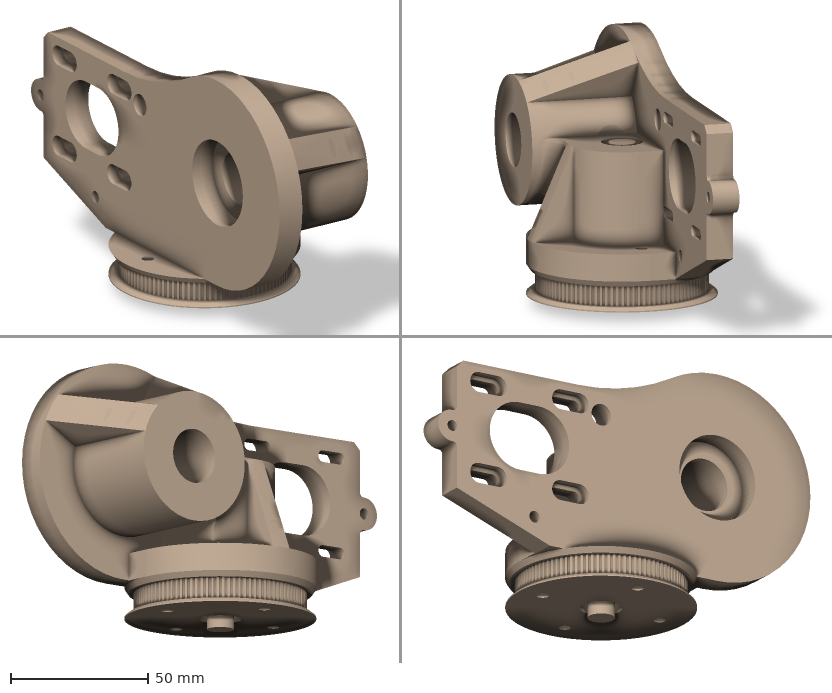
import cadquery as cq
import math


plate_thickness = 10.0
plate_round_radius = 40.0
plate_left = -112.0
plate_top = 24.6
top_line_end_x = -60.0
corner_chamfer = 2.9
lower_left_z = -25.1
bottom_line_start_x = -72.0

overall_length = 160.0
ear_radius = 6.0
ear_x = plate_round_radius - overall_length + ear_radius
ear_z = -1.5
ear_hole_diameter = 4.2
ear_fillet = 1.6

motor_x = -80.8
motor_travel = 8.0
window_diameter = 26.0
slot_spacing = 35.2
slot_width = 4.3
slot_recess_width = 7.7
slot_recess_depth = 4.0

cable_hole_x = -50.0
cable_hole_z = 14.9
cable_hole_diameter = 8.3
screw_hole_x = -78.5
screw_hole_z = -30.0
screw_hole_diameter = 4.5

boss_radius = 24.0
boss_length = 40.0
boss_end = plate_thickness + boss_length
bore_diameter = 20.0
bearing_seat_diameter = 32.6
bearing_seat_depth = 9.1
boss_rib_width = 12.0
boss_rib_angles = [30.0, 120.0]

pulley_x = -37.5
pulley_y = 20.0
bracket_bottom = -plate_round_radius
bracket_top = 5.0
base_radius = 35.0
base_thickness = 10.0
block_radius = 20.0
block_back = pulley_y + block_radius
block_fillet = 7.0
back_rib_width = 7.7
shaft_hole_diameter = 15.4
boss_relief_radius = 14.9
screw_circle_radius = 25.1
pulley_screw_diameter = 4.5
pulley_screw_count = 4

tooth_count = 100
tooth_tip_radius = 31.7
groove_width = 1.1
groove_depth = 0.8
flange_radius = base_radius
flange_inner_radius = 33.6
upper_flange_thickness = 2.0
cap_top = -48.2
lower_flange_top = -50.0
lower_rim_top = -51.0
pulley_bottom = -51.5
shaft_diameter = 10.0
shaft_bottom = -55.4


def on_front():
    """Workplane on the front of the plate: local x is X, local y is Z, positive normal is -Y."""
    return cq.Workplane("XZ")


def along_pulley_axis(z):
    """Horizontal workplane at height z, centred on the pulley axis."""
    return cq.Workplane("XY", origin=(pulley_x, pulley_y, z))


def pulley_axis_cone(bottom_radius, bottom, top_radius, top):
    """Cone frustum on the pulley axis between two heights."""
    return cq.Workplane(
        cq.Solid.makeCone(bottom_radius, top_radius, top - bottom, cq.Vector(pulley_x, pulley_y, bottom))
    )


def make_plate():
    centre_offset = -top_line_end_x
    offset_excess = centre_offset**2 + plate_top**2 - plate_round_radius**2
    arc_radius = offset_excess / (2 * (plate_round_radius - plate_top))
    arc_centre_z = plate_top + arc_radius
    centre_distance = plate_round_radius + arc_radius
    tangent_x = top_line_end_x * plate_round_radius / centre_distance
    tangent_z = arc_centre_z * plate_round_radius / centre_distance
    half_sweep = 0.5 * math.asin((tangent_x - top_line_end_x) / arc_radius)
    arc_middle = (
        top_line_end_x + arc_radius * math.sin(half_sweep),
        arc_centre_z - arc_radius * math.cos(half_sweep),
    )
    outline = (
        on_front()
        .moveTo(plate_left, lower_left_z)
        .lineTo(plate_left, plate_top - corner_chamfer)
        .lineTo(plate_left + corner_chamfer, plate_top)
        .lineTo(top_line_end_x, plate_top)
        .threePointArc(arc_middle, (tangent_x, tangent_z))
        .threePointArc((plate_round_radius, 0), (0, -plate_round_radius))
        .lineTo(bottom_line_start_x, -plate_round_radius)
        .close()
    )
    plate = outline.extrude(-plate_thickness)
    ear_round = on_front().center(ear_x, ear_z).circle(ear_radius).extrude(-plate_thickness)
    ear_width = plate_left - ear_x
    ear_neck = (
        on_front()
        .center(ear_x + ear_width / 2, ear_z)
        .rect(ear_width, 2 * ear_radius)
        .extrude(-plate_thickness)
    )
    plate = plate.union(ear_round).union(ear_neck)
    corners = cq.selectors.BoxSelector(
        (plate_left - ear_fillet / 2, -plate_thickness, ear_z - ear_radius - ear_fillet / 2),
        (plate_left + ear_fillet / 2, 2 * plate_thickness, ear_z + ear_radius + ear_fillet / 2),
    )
    return plate.edges("|Y").edges(corners).fillet(ear_fillet)


def make_boss():
    boss = on_front().circle(boss_radius).extrude(-boss_end)
    cone = cq.Workplane(
        cq.Solid.makeCone(
            plate_round_radius,
            boss_radius,
            boss_length,
            cq.Vector(0, plate_thickness, 0),
            cq.Vector(0, 1, 0),
        )
    )
    bar = (
        on_front()
        .workplane(offset=-plate_thickness)
        .center(plate_round_radius / 2, 0)
        .rect(plate_round_radius, boss_rib_width)
        .extrude(-boss_length)
    )
    rib = bar.intersect(cone)
    for angle in boss_rib_angles:
        boss = boss.union(rib.rotate((0, 0, 0), (0, -1, 0), angle))
    return boss


def half_round_plan(z, radius):
    """Plan that is straight beside the pulley axis and round behind it, from the plate back."""
    return (
        cq.Workplane("XY", origin=(pulley_x, 0, z))
        .moveTo(-radius, plate_thickness)
        .lineTo(-radius, pulley_y)
        .threePointArc((0, pulley_y + radius), (radius, pulley_y))
        .lineTo(radius, plate_thickness)
        .close()
    )


def block_side_column(back):
    """Upright bar on the boss side of the pulley axis, as tall as the block and ending at Y = back."""
    return cq.Workplane("XY").box(
        block_radius,
        back - plate_thickness,
        bracket_top - bracket_bottom,
        centered=False,
    ).translate((pulley_x, plate_thickness, bracket_bottom))


def make_bracket():
    height = bracket_top - bracket_bottom
    base = half_round_plan(bracket_bottom, base_radius).extrude(base_thickness)
    block = half_round_plan(bracket_bottom, block_radius).extrude(height)

    ring_middle = block_fillet * (1 - math.sqrt(0.5))
    ring = (
        cq.Workplane("XY")
        .moveTo(-boss_radius + block_fillet, block_back)
        .lineTo(-boss_radius - block_fillet, block_back)
        .threePointArc(
            (-boss_radius - ring_middle, block_back + ring_middle),
            (-boss_radius, block_back + block_fillet),
        )
        .lineTo(-boss_radius + block_fillet, block_back + block_fillet)
        .close()
        .revolve(360, (0, 0, 0), (0, 1, 0))
    )
    block = block.union(block_side_column(block_back))
    block = block.union(block_side_column(block_back + block_fillet).intersect(ring))

    base_top = bracket_bottom + base_thickness
    rib_cone = pulley_axis_cone(base_radius, base_top, block_radius, bracket_top)
    rib_bar = (
        along_pulley_axis(base_top)
        .center(0, base_radius / 2)
        .rect(back_rib_width, base_radius)
        .extrude(bracket_top - base_top)
    )
    return base.union(block).union(rib_bar.intersect(rib_cone))


def cut_motor_mount(housing):
    window = (
        on_front()
        .center(motor_x, 0)
        .slot2D(window_diameter + motor_travel, window_diameter)
        .extrude(-plate_thickness)
    )
    slots = (
        on_front()
        .center(motor_x, 0)
        .rarray(slot_spacing, slot_spacing, 2, 2)
        .slot2D(slot_width + motor_travel, slot_width)
        .extrude(-plate_thickness)
    )
    recesses = (
        on_front()
        .center(motor_x, 0)
        .rarray(slot_spacing, slot_spacing, 2, 2)
        .slot2D(slot_recess_width + motor_travel, slot_recess_width)
        .extrude(-slot_recess_depth)
    )
    return housing.cut(window).cut(slots).cut(recesses)


def cut_plate_holes(housing):
    holes = [
        (ear_x, ear_z, ear_hole_diameter),
        (cable_hole_x, cable_hole_z, cable_hole_diameter),
        (screw_hole_x, screw_hole_z, screw_hole_diameter),
    ]
    for x, z, diameter in holes:
        hole = on_front().center(x, z).circle(diameter / 2).extrude(-plate_thickness)
        housing = housing.cut(hole)
    return housing


def cut_bearing_bore(housing):
    bore = on_front().circle(bore_diameter / 2).extrude(-boss_end)
    seat = on_front().circle(bearing_seat_diameter / 2).extrude(-bearing_seat_depth)
    return housing.cut(bore).cut(seat)


def cut_bracket_holes(housing):
    height = bracket_top - bracket_bottom
    shaft_hole = along_pulley_axis(bracket_bottom).circle(shaft_hole_diameter / 2).extrude(height)
    screw_hole = (
        along_pulley_axis(bracket_bottom)
        .center(-screw_circle_radius, 0)
        .circle(pulley_screw_diameter / 2)
        .extrude(base_thickness)
    )
    relief = along_pulley_axis(bracket_top).circle(boss_relief_radius).extrude(boss_radius - bracket_top)
    behind_plate = (
        on_front()
        .workplane(offset=-plate_thickness)
        .rect(4 * plate_round_radius, 2 * plate_round_radius)
        .extrude(-boss_length)
    )
    return housing.cut(shaft_hole).cut(screw_hole).cut(relief.intersect(behind_plate))


def make_housing():
    housing = make_plate().union(make_boss()).union(make_bracket())
    housing = cut_motor_mount(housing)
    housing = cut_plate_holes(housing)
    housing = cut_bearing_bore(housing)
    return cut_bracket_holes(housing)


def tooth_wheel(bottom, top):
    """Disc with a rounded groove between neighbouring belt teeth."""
    pitch_angle = 2 * math.pi / tooth_count
    half_groove_angle = math.asin(groove_width / 2 / tooth_tip_radius)

    def at(radius, angle):
        return (radius * math.cos(angle), radius * math.sin(angle))

    outline = along_pulley_axis(bottom).moveTo(*at(tooth_tip_radius, -half_groove_angle))
    for index in range(tooth_count):
        groove_angle = index * pitch_angle
        next_angle = groove_angle + pitch_angle
        outline = outline.threePointArc(
            at(tooth_tip_radius - groove_depth, groove_angle),
            at(tooth_tip_radius, groove_angle + half_groove_angle),
        ).threePointArc(
            at(tooth_tip_radius, groove_angle + pitch_angle / 2),
            at(tooth_tip_radius, next_angle - half_groove_angle),
        )
    return outline.close().extrude(top - bottom)


def cut_pulley_holes(body):
    height = bracket_bottom - pulley_bottom
    bore = along_pulley_axis(pulley_bottom).circle(shaft_hole_diameter / 2).extrude(height)
    screws = (
        along_pulley_axis(pulley_bottom)
        .polarArray(screw_circle_radius, 0, 360, pulley_screw_count)
        .circle(pulley_screw_diameter / 2)
        .extrude(height)
    )
    return body.cut(bore).cut(screws)


def make_pulley():
    flange_bottom = bracket_bottom - upper_flange_thickness
    flange = pulley_axis_cone(flange_inner_radius, flange_bottom, flange_radius, bracket_bottom)
    return cut_pulley_holes(tooth_wheel(cap_top, flange_bottom).union(flange))


def make_cap():
    rim = along_pulley_axis(pulley_bottom).circle(flange_radius).extrude(lower_rim_top - pulley_bottom)
    flange = pulley_axis_cone(flange_radius, lower_rim_top, flange_inner_radius, lower_flange_top)
    return cut_pulley_holes(tooth_wheel(lower_flange_top, cap_top).union(flange).union(rim))


def make_shaft():
    return along_pulley_axis(shaft_bottom).circle(shaft_diameter / 2).extrude(bracket_top - shaft_bottom)


housing = make_housing()
pulley = make_pulley()
cap = make_cap()
shaft = make_shaft()

bodies = [housing, pulley, cap, shaft]

result = cq.Compound.makeCompound([body.solids().val() for body in bodies])